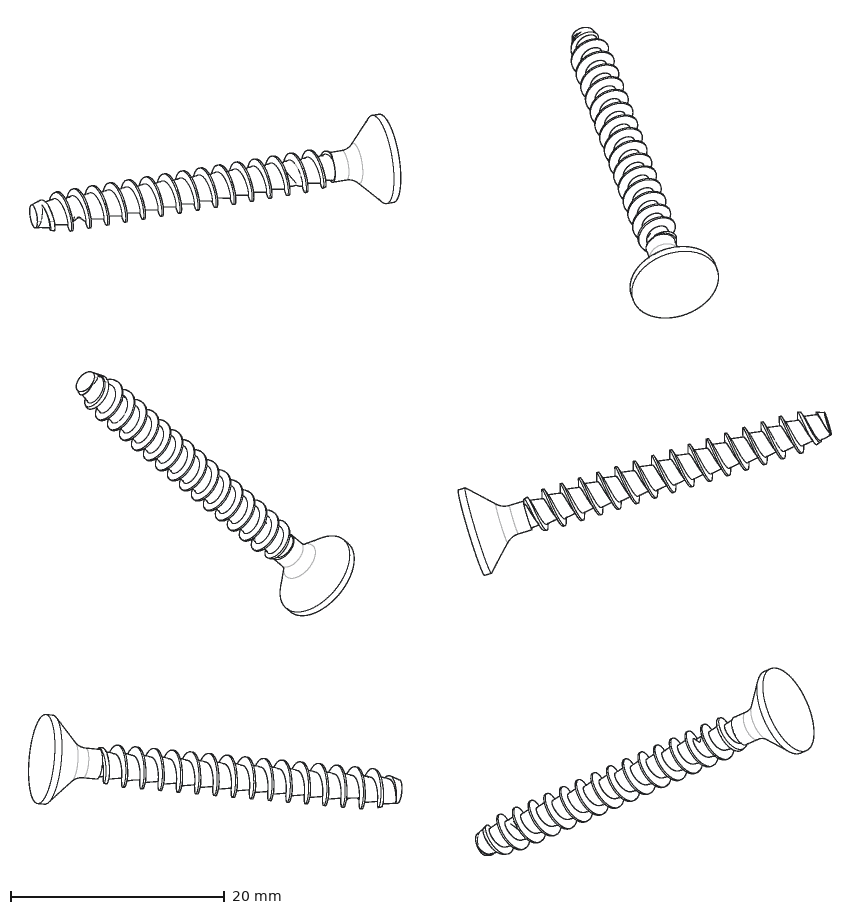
import cadquery as cq
import math


length = 35.0
head_radius = 8.4 / 2
head_rim_height = 0.69
neck_radius = 1.41
neck_end = 5.53
neck_fillet_radius = 1.7

core_radius = 1.10
taper_end_radius = core_radius + 0.02
crest_radius = 1.95
pitch = 1.792
crest_half_width = 0.09
flank_root_radius = 1.32
flank_root_half_width = 0.27
root_depth = 0.1
turn_gap = 0.02
start_angle = 90.0
first_crest = 5.43

start_trim_radius = 1.55
full_thread_start = 7.25
full_thread_end = 32.3
tip_radius = core_radius - 0.01
envelope_radius = crest_radius + 0.01


def make_head_and_neck():
    """Head rim, 45 degree countersink and a neck blended tangentially into the cone."""
    cone_angle = math.radians(45)
    middle_angle = cone_angle / 2
    corner = head_rim_height + (head_radius - neck_radius) / math.tan(cone_angle)
    tangent_length = neck_fillet_radius * math.tan(middle_angle)
    cone_tangent = (
        neck_radius + tangent_length * math.sin(cone_angle),
        corner - tangent_length * math.cos(cone_angle),
    )
    neck_tangent = (neck_radius, corner + tangent_length)
    fillet_centre_radius = neck_radius + neck_fillet_radius
    fillet_middle = (
        fillet_centre_radius - neck_fillet_radius * math.cos(middle_angle),
        neck_tangent[1] - neck_fillet_radius * math.sin(middle_angle),
    )
    return (
        cq.Workplane("XZ")
        .moveTo(0, 0)
        .lineTo(head_radius, 0)
        .lineTo(head_radius, head_rim_height)
        .lineTo(*cone_tangent)
        .threePointArc(fillet_middle, neck_tangent)
        .lineTo(neck_radius, neck_end)
        .lineTo(0, neck_end)
        .close()
        .revolve(360, (0, 0, 0), (0, 1, 0))
    )


def make_thread():
    """Helical ridge whose root tapers from each turn down to the core before the next turn."""
    helix_start = first_crest - pitch
    helix_height = length + pitch - helix_start
    sunk_radius = core_radius - root_depth
    taper_end = pitch - flank_root_half_width - turn_gap
    profile = (
        cq.Workplane("XZ")
        .moveTo(sunk_radius, -flank_root_half_width)
        .lineTo(taper_end_radius, -flank_root_half_width)
        .lineTo(crest_radius, -crest_half_width)
        .lineTo(crest_radius, crest_half_width)
        .lineTo(flank_root_radius, flank_root_half_width)
        .lineTo(taper_end_radius, taper_end)
        .lineTo(sunk_radius, taper_end)
        .close()
    )
    helix = cq.Wire.makeHelix(pitch, helix_height, core_radius)
    ridge = profile.sweep(cq.Workplane(obj=helix), isFrenet=True)
    return ridge.rotate((0, 0, 0), (0, 0, 1), start_angle).translate((0, 0, helix_start))


def make_envelope():
    """Space the threaded shank may fill: runs out at the neck and narrows to the tip."""
    return (
        cq.Workplane("XZ")
        .moveTo(0, neck_end)
        .lineTo(start_trim_radius, neck_end)
        .lineTo(envelope_radius, full_thread_start)
        .lineTo(envelope_radius, full_thread_end)
        .lineTo(tip_radius, length)
        .lineTo(0, length)
        .close()
        .revolve(360, (0, 0, 0), (0, 1, 0))
    )


def make_core():
    """Plain cylinder that fills the middle of the threaded shank."""
    return cq.Workplane("XY").workplane(offset=neck_end).circle(core_radius).extrude(length - neck_end)


thread = make_thread().intersect(make_envelope())
screw = make_head_and_neck().union(make_core()).union(thread)
result = screw.rotate((0, 0, 0), (1, 0, 0), 90)